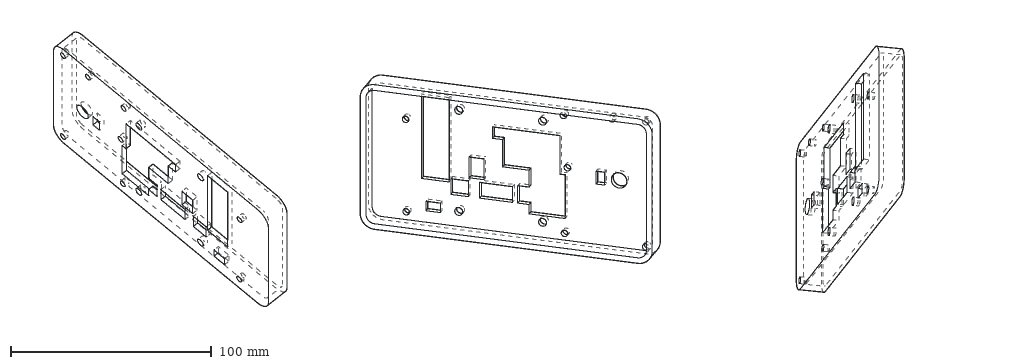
import cadquery as cq

LENGTH = 153.4
DEPTH = 13.0
HEIGHT = 78.4
CORNER_RADIUS = 7.7
FACE_THICKNESS = 3.0
WALL = FACE_THICKNESS

SCREW_HOLE_DIAMETER = 3.4
SCREW_HOLES = [
    (-70.0, 33.6),
    (-70.0, -34.2),
    (-52.2, 32.8),
    (-26.7, 31.3),
    (-28.8, 3.2),
    (-27.3, -32.5),
    (56.1, 18.1),
    (55.8, -31.9),
]

BOARD_HOLE_DIAMETER = 4.1
BOARD_HOLE_LEFT = -15.8
BOARD_HOLE_RIGHT = 28.2
BOARD_HOLE_TOP = 26.7
BOARD_HOLE_BOTTOM = -28.0

ROUND_OPENING_DIAMETER = 8.1
ROUND_OPENING_X = -56.0

WINDOW_ROW_BOTTOM = -19.3
WINDOW_ROW_TOP = -10.9

WINDOWS = [
    (-48.5, -43.9, -3.5, 3.4),
    (33.3, 47.7, -12.7, 33.0),
    (15.0, 22.7, -9.0, 2.1),
    (0.0, 17.2, WINDOW_ROW_BOTTOM, WINDOW_ROW_TOP),
    (23.2, 32.4, WINDOW_ROW_BOTTOM, WINDOW_ROW_TOP),
    (37.9, 45.4, -29.9, -24.9),
]

STEP_Z = -0.8
STEPPED_WINDOW = [
    (-24.9, 5.2, STEP_Z, 20.1),
    (-24.9, 10.5, 14.0, 20.1),
    (-27.6, -8.7, -24.4, STEP_Z),
    (-27.6, -2.8, WINDOW_ROW_BOTTOM, -10.0),
]


def rounded_block(length, height, radius, front, back):
    """Block with rounded corners between two Y positions."""
    return (
        cq.Workplane("XZ", origin=(0, front, 0))
        .rect(length, height)
        .extrude(front - back)
        .edges("|Y")
        .fillet(radius)
    )


def window_cutter(left, right, bottom, top):
    """Rectangular cutter through the full depth."""
    centre = ((left + right) / 2, 0, (bottom + top) / 2)
    return cq.Workplane("XY", origin=centre).box(right - left, DEPTH, top - bottom)


def hole_cutter(diameter, points):
    """Round cutters through the full depth, one at each (x, z) point."""
    return (
        cq.Workplane("XZ", origin=(0, DEPTH / 2, 0))
        .pushPoints(points)
        .circle(diameter / 2)
        .extrude(DEPTH)
    )


front_y = -DEPTH / 2
back_y = DEPTH / 2

body = rounded_block(LENGTH, HEIGHT, CORNER_RADIUS, front_y, back_y)
cavity = rounded_block(
    LENGTH - 2 * WALL,
    HEIGHT - 2 * WALL,
    CORNER_RADIUS - WALL,
    front_y + FACE_THICKNESS,
    back_y,
)
result = body.cut(cavity)

for window in WINDOWS + STEPPED_WINDOW:
    result = result.cut(window_cutter(*window))

board_holes = [
    (x, z)
    for x in (BOARD_HOLE_LEFT, BOARD_HOLE_RIGHT)
    for z in (BOARD_HOLE_BOTTOM, BOARD_HOLE_TOP)
]
result = result.cut(hole_cutter(SCREW_HOLE_DIAMETER, SCREW_HOLES))
result = result.cut(hole_cutter(BOARD_HOLE_DIAMETER, board_holes))
result = result.cut(hole_cutter(ROUND_OPENING_DIAMETER, [(ROUND_OPENING_X, 0)]))